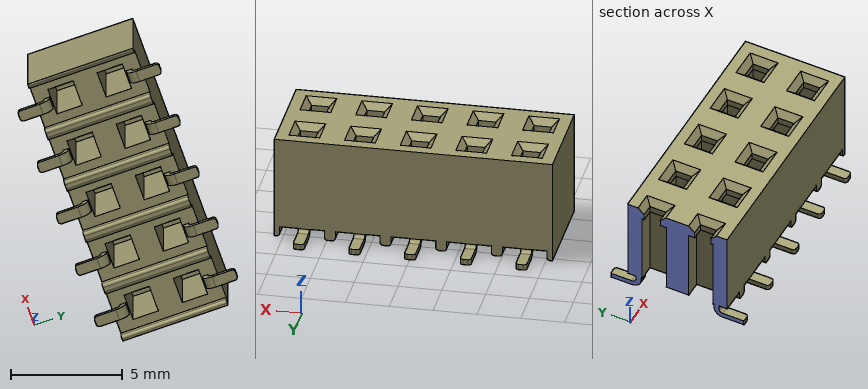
import cadquery as cq
import math


pitch = 2.54
positions = 5
body_depth = 5.0
total_height = 5.0
tip_to_tip = 6.7

body_length = positions * pitch
standoff = 0.15
notch_top = 0.62
rib_width = 0.5
rib_fillet = 0.15

mouth_size = 1.4
hole_size = 0.8
lead_in_depth = (mouth_size - hole_size) / 2
throat_depth = 0.33
cavity_side_gap = 0.2
cavity_outer_gap = 0.1
cavity_inner_gap = 0.3

lead_width = 0.5
lead_thickness = 0.27
lead_tip_fillet = 0.15
foot_length = 1.06
bend_inner_radius = 0.2

row_y = pitch / 2
column_x = [(i - (positions - 1) / 2) * pitch for i in range(positions)]
notch_width = pitch - rib_width
throat_bottom = total_height - lead_in_depth - throat_depth
cavity_outer_y = row_y + hole_size / 2 + cavity_outer_gap
cavity_inner_y = row_y - hole_size / 2 - cavity_inner_gap
tip_y = tip_to_tip / 2
bend_start_y = tip_y - foot_length
bend_outer_radius = bend_inner_radius + lead_thickness
bend_centre_z = bend_outer_radius


def both_rows(shape):
    """Return a +Y row shape together with its mirror image in the -Y row."""
    return shape.union(shape.mirror("XZ"))


def at_columns(shape):
    """Repeat a shape centred on X = 0 at every contact position."""
    copies = cq.Workplane("XY")
    for x in column_x:
        copies = copies.add(shape.translate((x, 0, 0)))
    return copies.combine()


def make_housing():
    """Block with notches across its underside, leaving round-edged standoff ribs."""
    block = cq.Workplane("XY").box(
        body_length, body_depth, total_height - standoff, centered=(True, True, False)
    ).translate((0, 0, standoff))
    notch = cq.Workplane("XY").box(
        notch_width, body_depth, notch_top - standoff, centered=(True, True, False)
    ).translate((0, 0, standoff))
    block = block.cut(at_columns(notch))
    for x in column_x:
        for side in (-1, 1):
            edge_point = (x + side * notch_width / 2, 0, standoff)
            block = block.edges(cq.NearestToPointSelector(edge_point)).fillet(rib_fillet)
    return block


def make_opening():
    """Tapered mouth, square throat and wider contact cavity of one +Y position."""
    mouth = (
        cq.Workplane("XY", origin=(0, row_y, total_height))
        .rect(mouth_size, mouth_size)
        .workplane(offset=-lead_in_depth)
        .rect(hole_size, hole_size)
        .loft(ruled=True)
    )
    throat = (
        cq.Workplane("XY", origin=(0, row_y, throat_bottom))
        .rect(hole_size, hole_size)
        .extrude(throat_depth)
    )
    cavity = (
        cq.Workplane("XY", origin=(0, (cavity_inner_y + cavity_outer_y) / 2, standoff))
        .rect(hole_size + 2 * cavity_side_gap, cavity_outer_y - cavity_inner_y)
        .extrude(throat_bottom - standoff)
    )
    return mouth.union(throat).union(cavity)


def bend_point(radius, angle):
    """Point (Y, Z) on the lead bend; 0 degrees is at the foot, 90 at the stem."""
    turn = math.radians(angle)
    return bend_start_y - radius * math.sin(turn), bend_centre_z - radius * math.cos(turn)


def make_lead():
    """Flat solder foot bent up into a stem that enters the +Y side of the housing."""
    stem_top = notch_top + lead_thickness
    stem_inner_y = bend_start_y - bend_outer_radius
    stem_outer_y = bend_start_y - bend_inner_radius
    return (
        cq.Workplane("YZ")
        .moveTo(tip_y, 0)
        .lineTo(tip_y, lead_thickness)
        .lineTo(bend_start_y, lead_thickness)
        .threePointArc(bend_point(bend_inner_radius, 45), bend_point(bend_inner_radius, 90))
        .lineTo(stem_outer_y, stem_top)
        .lineTo(stem_inner_y, stem_top)
        .lineTo(stem_inner_y, bend_centre_z)
        .threePointArc(bend_point(bend_outer_radius, 45), bend_point(bend_outer_radius, 0))
        .close()
        .extrude(lead_width / 2, both=True)
        .faces(">Y")
        .edges("|Z")
        .fillet(lead_tip_fillet)
    )


housing = make_housing().cut(at_columns(both_rows(make_opening())))
result = housing.union(at_columns(both_rows(make_lead())))